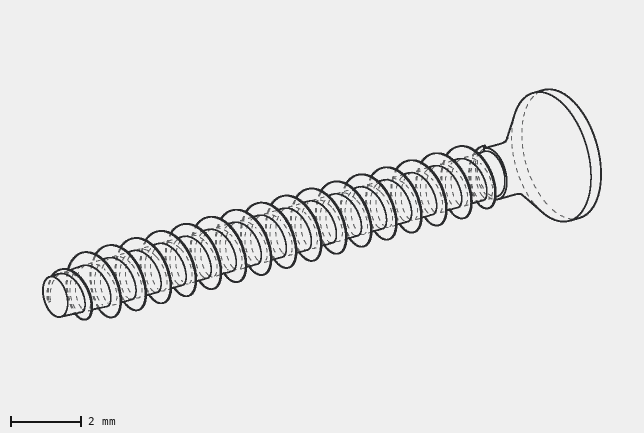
import cadquery as cq
import math

length = 18.0

head_radius = 3.8 / 2
rim_height = 0.36
head_slope = math.radians(44)
neck_radius = 0.75
neck_blend_radius = 0.85
neck_end_depth = 2.5

core_radius = 0.67
tip_radius = 0.6
tip_taper_depth = 16.38

first_crest_depth = 3.96
last_crest_depth = 16.43
full_turns = 14
pitch = (last_crest_depth - first_crest_depth) / full_turns
crest_radius = 1.0
buried_radius = 0.52
crest_width = 0.04
buried_width = 0.27
thread_start_depth = 2.47
thread_start_run = 0.83
thread_end_depth = 17.85
thread_end_run = 1.13
start_crest_radius = 0.83
end_crest_radius = 0.63
points_per_turn = 16


def make_body():
    """Revolve head, neck and core about the Y axis."""
    blend_drop = neck_blend_radius * (1 - math.cos(head_slope))
    blend_length = neck_blend_radius * math.sin(head_slope)
    cone_end_radius = neck_radius + blend_drop
    cone_end_depth = rim_height + (head_radius - cone_end_radius) / math.tan(head_slope)
    blend_end_depth = cone_end_depth + blend_length
    half_slope = head_slope / 2
    blend_mid_radius = neck_radius + neck_blend_radius * (1 - math.cos(half_slope))
    blend_mid_depth = blend_end_depth - neck_blend_radius * math.sin(half_slope)
    return (
        cq.Workplane("XY")
        .moveTo(0, 0)
        .lineTo(head_radius, 0)
        .lineTo(head_radius, -rim_height)
        .lineTo(cone_end_radius, -cone_end_depth)
        .threePointArc((blend_mid_radius, -blend_mid_depth), (neck_radius, -blend_end_depth))
        .lineTo(neck_radius, -neck_end_depth)
        .lineTo(core_radius, -neck_end_depth)
        .lineTo(core_radius, -tip_taper_depth)
        .lineTo(tip_radius, -length)
        .lineTo(0, -length)
        .close()
        .revolve(360, (0, 0, 0), (0, 1, 0))
    )


def crest_radius_at(depth):
    """Crest radius, full along the thread and falling linearly towards both ends."""
    start_slope = (crest_radius - start_crest_radius) / thread_start_run
    end_slope = (crest_radius - end_crest_radius) / thread_end_run
    start_limit = start_crest_radius + start_slope * (depth - thread_start_depth)
    end_limit = end_crest_radius + end_slope * (thread_end_depth - depth)
    return min(crest_radius, start_limit, end_limit)


def buried_radius_at(depth):
    """Base radius, the same at every depth."""
    return buried_radius


def thread_edge(radius_at, axial_offset, start_depth, end_depth):
    """Helical edge whose radius follows the depth, shifted along the axis."""
    steps = math.ceil((end_depth - start_depth) / pitch * points_per_turn)
    points = []
    for step in range(steps + 1):
        depth = start_depth + (end_depth - start_depth) * step / steps
        angle = 2 * math.pi * (depth - first_crest_depth) / pitch
        radius = radius_at(depth)
        points.append(
            cq.Vector(radius * math.cos(angle), -(depth + axial_offset), radius * math.sin(angle))
        )
    return cq.Edge.makeSpline(points)


def thread_section_edges(start_depth, end_depth):
    """Four edges of one stretch of the ridge, in order around its profile."""
    return [
        thread_edge(buried_radius_at, -buried_width / 2, start_depth, end_depth),
        thread_edge(crest_radius_at, -crest_width / 2, start_depth, end_depth),
        thread_edge(crest_radius_at, crest_width / 2, start_depth, end_depth),
        thread_edge(buried_radius_at, buried_width / 2, start_depth, end_depth),
    ]


def end_cap(edges, end):
    """Flat face across the ridge profile at the start (0) or the finish (1) of its edges."""
    corners = [edge.positionAt(end) for edge in edges]
    return cq.Face.makeFromWires(cq.Wire.makePolygon(corners, close=True))


def make_thread():
    """Solid thread ridge, built turn by turn between the two run-outs."""
    full_start = thread_start_depth + thread_start_run
    full_end = thread_end_depth - thread_end_run
    turns = math.ceil((full_end - full_start) / pitch)
    turn_depths = [full_start + (full_end - full_start) * turn / turns for turn in range(turns + 1)]
    depths = [thread_start_depth] + turn_depths + [thread_end_depth]
    sections = [thread_section_edges(start, end) for start, end in zip(depths, depths[1:])]
    faces = [end_cap(sections[0], 0), end_cap(sections[-1], 1)]
    for edges in sections:
        for i in range(len(edges)):
            faces.append(cq.Face.makeRuledSurface(edges[i - 1], edges[i]))
    return cq.Solid.makeSolid(cq.Shell.makeShell(faces))


result = make_body().union(cq.Workplane(obj=make_thread()))